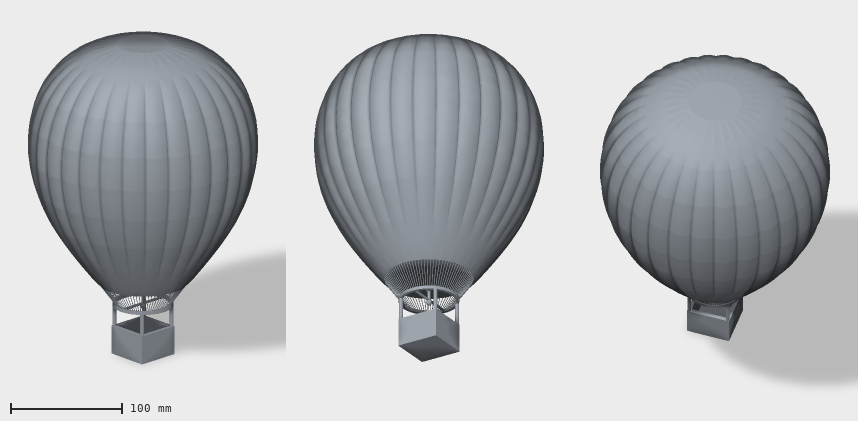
import cadquery as cq
import math

GORE_COUNT = 30
GORE_ANGLE = 2 * math.pi / GORE_COUNT
TOTAL_HEIGHT = 295.5
MOUTH_HEIGHT = 69.2
MOUTH_RADIUS = 40.5
TOP_BAND_LEVEL = 253.0
BAND_SHAPES = [(65.0, 1.0), (84.5, 2.0), (97.3, 2.7), (103.0, 3.0), (101.5, 3.0), (90.8, 2.7)]
BAND_HEIGHT = (TOP_BAND_LEVEL - MOUTH_HEIGHT) / len(BAND_SHAPES)
SHOULDER_HEIGHT = 278.5
SHOULDER_RADIUS = 68.5
SHOULDER_BULGE = 1.2
CROWN_HEIGHT = 295.3
CROWN_RADIUS = 23.6

BASKET_SIDE = 40.0
BASKET_HEIGHT = 26.5
BASKET_WALL = 3.5

RING_BOTTOM = 46.7
RING_HEIGHT = 3.0
RING_RADIUS = 27.2
RING_WIDTH = 3.0
RING_TOP = RING_BOTTOM + RING_HEIGHT
RING_MIDDLE = RING_BOTTOM + RING_HEIGHT / 2
RING_CENTRELINE_RADIUS = RING_RADIUS - RING_WIDTH / 2
POST_DIAMETER = 3.5

ROPE_COUNT = 3 * GORE_COUNT
ROPE_DIAMETER = 0.5
ROPE_MOUTH_RADIUS = MOUTH_RADIUS - ROPE_DIAMETER
ROPE_SINK = 1.0

BALL_RADIUS = 2.7
UPPER_BALL_HEIGHT = 58.2
LOWER_BALL_HEIGHT = 45.8
STEM_DIAMETER = 3.0
CROSSBAR_DIAMETER = 2.5


def polar(radius, angle, height):
    return cq.Vector(radius * math.cos(angle), radius * math.sin(angle), height)


def rod(start, end, diameter):
    span = end - start
    return cq.Solid.makeCylinder(diameter / 2, span.Length, start, span)


def lobed_wire(height, lobe_radius, bulge):
    """Closed outline of one arc per gore, with the first lobe centred on +X."""
    crease_radius = lobe_radius - bulge
    edges = []
    for i in range(GORE_COUNT):
        middle = i * GORE_ANGLE
        edges.append(
            cq.Edge.makeThreePointArc(
                polar(crease_radius, middle - GORE_ANGLE / 2, height),
                polar(lobe_radius, middle, height),
                polar(crease_radius, middle + GORE_ANGLE / 2, height),
            )
        )
    return cq.Wire.assembleEdges(edges)


def make_envelope_pieces():
    """Bands of one smooth loft, from the mouth up, then a very shallow crown that closes the top."""
    wires = [lobed_wire(MOUTH_HEIGHT, MOUTH_RADIUS, 0)]
    seam_heights = []
    for i, (radius, bulge) in enumerate(BAND_SHAPES):
        height = MOUTH_HEIGHT + (i + 1) * BAND_HEIGHT
        seam_heights.append(height)
        wires.append(lobed_wire(height, radius, bulge))
    seam_heights.append(SHOULDER_HEIGHT)
    wires.append(lobed_wire(SHOULDER_HEIGHT, SHOULDER_RADIUS, SHOULDER_BULGE))
    crown_wire = lobed_wire(CROWN_HEIGHT, CROWN_RADIUS, 0)
    body = cq.Solid.makeLoft(wires + [crown_wire])

    cuts = [cq.Face.makePlane(TOTAL_HEIGHT, TOTAL_HEIGHT, (0, 0, height)) for height in seam_heights]
    bands = sorted(body.split(*cuts).Solids(), key=lambda band: band.Center().z)
    apex = cq.Vertex.makeVertex(0, 0, TOTAL_HEIGHT)
    crown = cq.occ_impl.shapes.loft(crown_wire, apex, cap=True, ruled=True)
    return bands + [crown]


def make_basket():
    inner_side = BASKET_SIDE - 2 * BASKET_WALL
    basket = cq.Workplane().rect(BASKET_SIDE, BASKET_SIDE).extrude(BASKET_HEIGHT)
    hollow = cq.Workplane().workplane(offset=BASKET_WALL).rect(inner_side, inner_side).extrude(BASKET_HEIGHT)
    return basket.cut(hollow).val()


def make_ring():
    outline = cq.Workplane().workplane(offset=RING_BOTTOM).circle(RING_RADIUS)
    return outline.circle(RING_RADIUS - RING_WIDTH).extrude(RING_HEIGHT).val()


def make_posts():
    """Corner posts from the level of the basket floor up into the ring."""
    offset = (BASKET_SIDE - POST_DIAMETER) / 2
    posts = []
    for x in (-offset, offset):
        for y in (-offset, offset):
            posts.append(rod(cq.Vector(x, y, BASKET_WALL), cq.Vector(x, y, RING_MIDDLE), POST_DIAMETER))
    return posts


def make_ropes():
    """Slanted ropes whose ends are sunk into the ring and the envelope."""
    ropes = []
    for i in range(ROPE_COUNT):
        angle = i * 2 * math.pi / ROPE_COUNT
        low = polar(RING_CENTRELINE_RADIUS, angle, RING_TOP)
        high = polar(ROPE_MOUTH_RADIUS, angle, MOUTH_HEIGHT)
        sink = (high - low).normalized() * ROPE_SINK
        ropes.append(rod(low - sink, high + sink, ROPE_DIAMETER))
    return ropes


def make_burner():
    """Two balls on an upright stem, held by a bar along Y across the ring."""
    low = cq.Vector(0, 0, LOWER_BALL_HEIGHT)
    high = cq.Vector(0, 0, UPPER_BALL_HEIGHT)
    balls = [cq.Workplane().sphere(BALL_RADIUS).val().translate(centre) for centre in (low, high)]
    stem = rod(low, high, STEM_DIAMETER)
    bar_end = cq.Vector(0, RING_CENTRELINE_RADIUS, RING_MIDDLE)
    bar_start = cq.Vector(0, -RING_CENTRELINE_RADIUS, RING_MIDDLE)
    return balls + [stem, rod(bar_start, bar_end, CROSSBAR_DIAMETER)]


def make_balloon():
    """Join the rigging to the lowest band, then sew the skin of the upper pieces onto it."""
    mouth_band, *upper_pieces = make_envelope_pieces()
    rigging = make_ring().fuse(*make_ropes()).fuse(mouth_band)
    lower_part = rigging.fuse(make_basket(), *make_posts(), *make_burner())

    seam_face = lower_part.faces(">Z")
    skin = [face for face in lower_part.Faces() if not face.isSame(seam_face)]
    for piece in upper_pieces:
        skin.extend(face for face in piece.Faces() if face.geomType() != "PLANE")
    return cq.Solid.makeSolid(cq.Shell.makeShell(skin))


result = cq.Workplane(make_balloon())